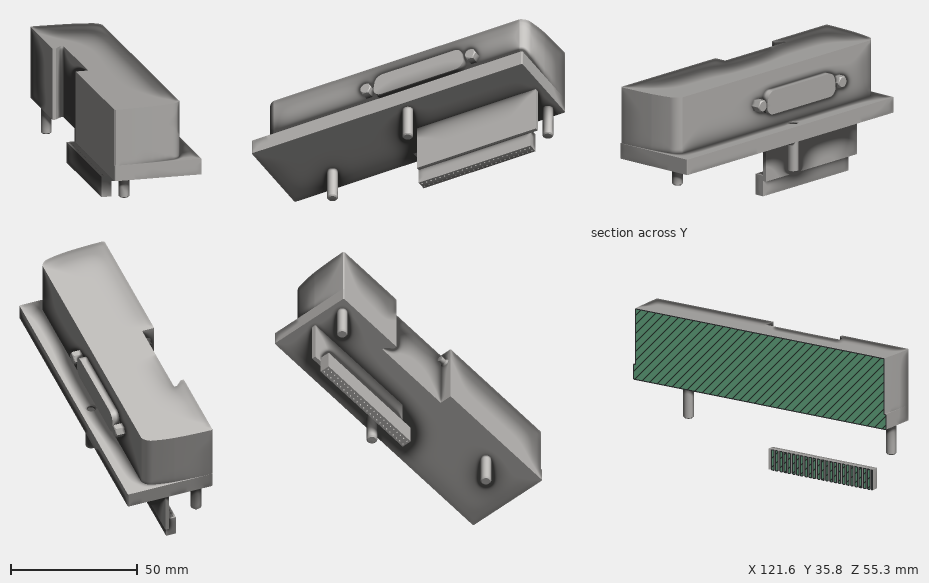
import cadquery as cq
import math

length = 121.6
depth = 35.8
total_height = 55.3
flange_height = 6.3
corner_radius = 0.5

top_z = 29.3
housing_length = 121.4
housing_depth = 28.1
end_shoulder = (5.4, housing_depth)
end_knee = (2.2, 24.2)
end_flank = (0.7, 15.8)
shoulder_mid = (3.4, 26.8)
flank_mid = (1.3, 20.2)
side_mid = (0.2, 8.5)
overlap = 0.5

notch_left = 32.3
notch_right = 65.4
notch_depth = 5.1
undercut_left = 29.7
lip_depth = 1.3
undercut_depth = 3.9

stop_y = 3.0
stop_z = 23.1
stop_diameter = 2.4
stop_length = 2.9
collar_diameter = 3.6
collar_thickness = 0.6

shell_x = 49.2
shell_z = 17.1
shell_width = 40.2
shell_height = 9.6
shell_radius = 3.5
shell_slant = math.radians(10)
shell_reach = 3.0
post_spacing = 46.9
post_flats = 4.5
post_reach = 3.9
post_chamfer = 0.6

pin_diameter = 4.3
pin_length = 13.5
pin_chamfer = 0.5
left_pin = (5.1, 5.1)
right_pin = (99.1, 10.2)
rear_pin = (54.0, 31.0)
bore_diameter = pin_diameter - 2 * pin_chamfer
bore_depth = 1.2

board_left = 3.0
board_right = 56.5
board_front = 17.3
board_thickness = 1.6
board_drop = 19.7
socket_length = 50.2
socket_width = 4.1
socket_height = 8.5
socket_bottom_z = top_z - total_height
contact_columns = 25
contact_rows = 2
contact_pitch = socket_length / contact_columns
contact_diameter = 0.6


def box(x_min, x_max, y_min, y_max, z_min, z_max):
    size = (x_max - x_min, y_max - y_min, z_max - z_min)
    return cq.Workplane("XY").box(*size, centered=False).translate((x_min, y_min, z_min))


def back_plane(x, z):
    """Sketch plane just inside the back wall, extruding toward +Y."""
    origin = (x, housing_depth - overlap, z)
    return cq.Workplane(cq.Plane(origin=origin, xDir=(-1, 0, 0), normal=(0, 1, 0)))


def make_flange():
    plate = box(0, length, 0, depth, 0, flange_height)
    return plate.edges("|Z").fillet(corner_radius)


def make_housing():
    """Block with curved ends and bevelled front corners."""

    def mirrored(point):
        return (housing_length - point[0], point[1])

    front_left = (corner_radius, 0)
    side_start = (0, corner_radius)
    return (
        cq.Workplane("XY")
        .moveTo(*front_left)
        .lineTo(*side_start)
        .threePointArc(side_mid, end_flank)
        .threePointArc(flank_mid, end_knee)
        .threePointArc(shoulder_mid, end_shoulder)
        .lineTo(*mirrored(end_shoulder))
        .threePointArc(mirrored(shoulder_mid), mirrored(end_knee))
        .threePointArc(mirrored(flank_mid), mirrored(end_flank))
        .threePointArc(mirrored(side_mid), mirrored(side_start))
        .lineTo(*mirrored(front_left))
        .close()
        .extrude(top_z)
    )


def make_notch():
    outline = [
        (notch_left, 0),
        (notch_left, lip_depth),
        (undercut_left, undercut_depth),
        (undercut_left, notch_depth),
        (notch_right, notch_depth),
        (notch_right, 0),
    ]
    return cq.Workplane("XY").polyline(outline).close().extrude(top_z)


def make_stop_pin():
    """Round pin pointing toward -X with a conical collar against the notch wall."""
    anchor = cq.Workplane("YZ", origin=(notch_right + overlap, stop_y, stop_z))
    stem = anchor.circle(stop_diameter / 2).extrude(-(stop_length + overlap))
    collar = cq.Solid.makeCone(
        collar_diameter / 2,
        stop_diameter / 2,
        collar_thickness,
        pnt=cq.Vector(notch_right, stop_y, stop_z),
        dir=cq.Vector(-1, 0, 0),
    )
    return stem.union(cq.Workplane(collar))


def make_shell():
    """Rounded D outline, wider at the bottom."""
    half_height = shell_height / 2
    slant_run = math.tan(shell_slant)
    lower_center_x = shell_width / 2 - shell_radius
    side_at_center = lower_center_x + shell_radius / math.cos(shell_slant)
    half_bottom = side_at_center + shell_radius * slant_run
    half_top = half_bottom - shell_height * slant_run
    outline = [
        (-half_bottom, -half_height),
        (half_bottom, -half_height),
        (half_top, half_height),
        (-half_top, half_height),
    ]
    shell = back_plane(shell_x, shell_z).polyline(outline).close().extrude(shell_reach + overlap)
    return shell.edges("|Y").fillet(shell_radius)


def make_post(x):
    """Hexagonal post with its corners bevelled at the free end."""
    across_corners = post_flats / math.cos(math.pi / 6)
    plane = back_plane(x, shell_z)
    hexagon = plane.polygon(6, across_corners).extrude(post_reach + overlap)
    rounding = plane.circle(across_corners / 2).extrude(post_reach + overlap)
    return hexagon.intersect(rounding.faces(">Y").chamfer(post_chamfer))


def make_pin(place):
    base = cq.Workplane("XY", origin=(*place, overlap))
    pin = base.circle(pin_diameter / 2).extrude(-(pin_length + overlap))
    return pin.faces("<Z").chamfer(pin_chamfer)


def make_pin_recess():
    """Countersunk blind bore in the flange above the rear pin."""
    top = cq.Workplane("XY", origin=(*rear_pin, flange_height))
    bore = top.circle(bore_diameter / 2).extrude(-bore_depth)
    countersink = cq.Solid.makeCone(
        pin_diameter / 2,
        bore_diameter / 2,
        pin_chamfer,
        pnt=cq.Vector(*rear_pin, flange_height),
        dir=cq.Vector(0, 0, -1),
    )
    return bore.union(cq.Workplane(countersink))


def make_board():
    board_back = board_front + board_thickness
    return box(board_left, board_right, board_front, board_back, -board_drop, overlap)


def make_socket():
    left = board_right - socket_length
    front = board_front - socket_width
    top = socket_bottom_z + socket_height
    body = box(left, board_right, front, board_front, socket_bottom_z, top)
    contacts = (
        cq.Workplane("XY", origin=(left + socket_length / 2, front + socket_width / 2, top))
        .rarray(contact_pitch, contact_pitch, contact_columns, contact_rows)
        .circle(contact_diameter / 2)
        .extrude(-socket_height)
    )
    return body.cut(contacts)


result = make_flange().union(make_housing()).cut(make_notch()).cut(make_pin_recess())
result = result.union(make_stop_pin()).union(make_shell())
for side in (-1, 1):
    result = result.union(make_post(shell_x + side * post_spacing / 2))
for pin_place in (left_pin, right_pin, rear_pin):
    result = result.union(make_pin(pin_place))
result = result.union(make_board()).union(make_socket())